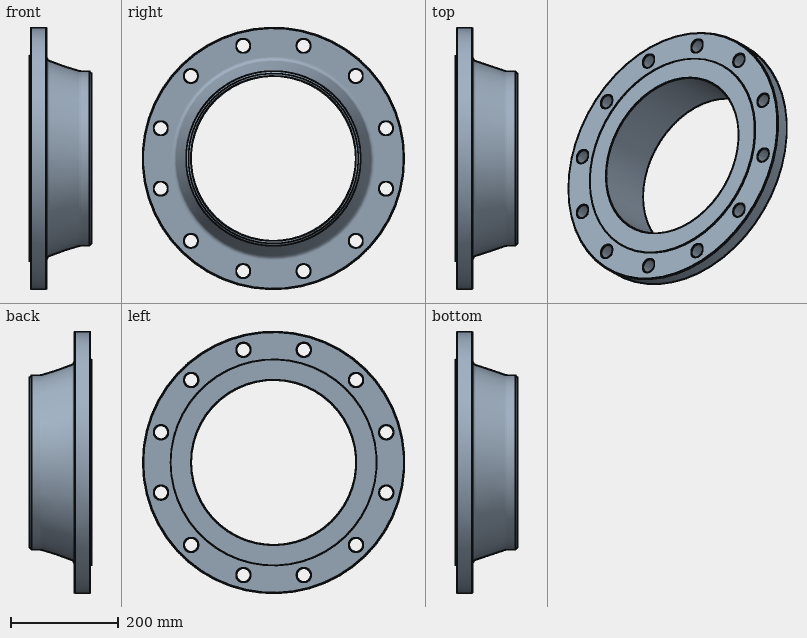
import cadquery as cq

length = 115.0
flange_diameter = 485.0
bore_diameter = 304.8
flange_face_x = 32.0
rim_chamfer = 1.5
bore_chamfer = 1.0

raised_face_diameter = 381.0
raised_face_height = 2.0
raised_face_flare = 0.5

hub_base_diameter = 365.1
neck_diameter = 323.8
neck_start_x = 93.5
hub_fillet = 8.0
neck_fillet = 10.0
bevel_length = 4.5
bevel_depth = 4.5

bolt_count = 12
bolt_hole_diameter = 25.4
bolt_circle_diameter = 431.8
bolt_hole_chamfer = 1.0

pick_tolerance = 0.01


def circle_edges_at(body, x, diameter):
    """Pick the circular edges of the body on the X axis with the given position and diameter."""
    radius = diameter / 2
    picked = []
    for edge in body.edges("%CIRCLE").vals():
        centre_offset = abs(edge.Center().x - x)
        radius_offset = abs(edge.radius() - radius)
        if centre_offset < pick_tolerance and radius_offset < pick_tolerance:
            picked.append(edge)
    return body.newObject(picked)


def revolved_body():
    """Half section of the flange in the XY plane, turned about the X axis."""
    bevel_radius = neck_diameter / 2 - bevel_depth
    half_section = (
        cq.Workplane("XY")
        .moveTo(0, bore_diameter / 2)
        .lineTo(0, raised_face_diameter / 2)
        .lineTo(raised_face_height, raised_face_diameter / 2 + raised_face_flare)
        .lineTo(raised_face_height, flange_diameter / 2)
        .lineTo(flange_face_x, flange_diameter / 2)
        .lineTo(flange_face_x, hub_base_diameter / 2)
        .lineTo(neck_start_x, neck_diameter / 2)
        .lineTo(length - bevel_length, neck_diameter / 2)
        .lineTo(length, bevel_radius)
        .lineTo(length, bore_diameter / 2)
        .close()
    )
    return half_section.revolve(360, (0, 0, 0), (1, 0, 0))


def blend_edges(body):
    """Chamfer the bore mouth and rim, then round the hub root and the change from cone to neck."""
    body = circle_edges_at(body, 0, bore_diameter).chamfer(bore_chamfer)
    body = circle_edges_at(body, raised_face_height, flange_diameter).chamfer(rim_chamfer)
    body = circle_edges_at(body, flange_face_x, flange_diameter).chamfer(rim_chamfer)
    body = circle_edges_at(body, flange_face_x, hub_base_diameter).fillet(hub_fillet)
    return circle_edges_at(body, neck_start_x, neck_diameter).fillet(neck_fillet)


def bolt_hole_cutter():
    """Half section of one hole with its chamfered mouth, turned about its own axis along X."""
    radius = bolt_hole_diameter / 2
    mouth_radius = radius + bolt_hole_chamfer
    half_section = (
        cq.Workplane("XY")
        .lineTo(0, mouth_radius)
        .lineTo(raised_face_height, mouth_radius)
        .lineTo(raised_face_height + bolt_hole_chamfer, radius)
        .lineTo(flange_face_x, radius)
        .lineTo(flange_face_x, 0)
        .close()
    )
    return half_section.revolve(360, (0, 0, 0), (1, 0, 0))


def cut_bolt_holes(body):
    """Cut the holes on the bolt circle, straddling the Y and Z axes."""
    pitch = 360 / bolt_count
    cutter = bolt_hole_cutter().translate((0, 0, bolt_circle_diameter / 2))
    for index in range(bolt_count):
        angle = index * pitch + pitch / 2
        body = body.cut(cutter.rotate((0, 0, 0), (1, 0, 0), angle))
    return body


result = cut_bolt_holes(blend_edges(revolved_body()))